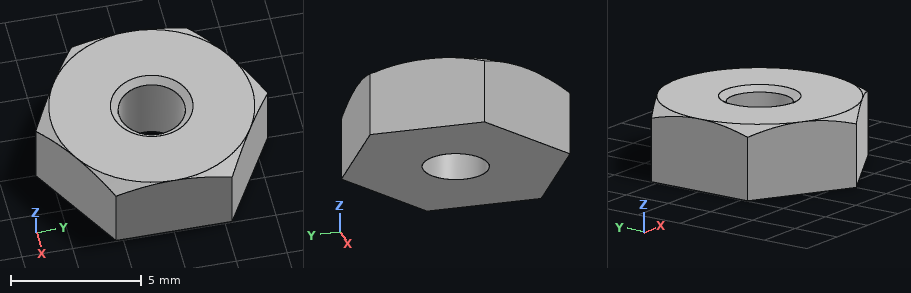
import cadquery as cq
import math

across_corners = 9.15
across_flats = across_corners * math.cos(math.radians(30))
height = 2.9
corner_chamfer_angle = 30.0

bore_diameter = 2.58
countersink_diameter = 3.175
countersink_depth = 0.22
countersink_angle = 2 * math.degrees(
    math.atan2((countersink_diameter - bore_diameter) / 2, countersink_depth)
)


def hexagonal_body():
    return (
        cq.Workplane("XY")
        .polygon(6, across_corners)
        .extrude(height)
        .rotate((0, 0, 0), (0, 0, 1), 90)
    )


def chamfer_envelope():
    """Cylinder through the corners, coned at the top down from the flats circle."""
    corner_radius = across_corners / 2
    flat_radius = across_flats / 2
    corner_drop = (corner_radius - flat_radius) * math.tan(math.radians(corner_chamfer_angle))
    return (
        cq.Workplane("XZ")
        .moveTo(0, 0)
        .lineTo(corner_radius, 0)
        .lineTo(corner_radius, height - corner_drop)
        .lineTo(flat_radius, height)
        .lineTo(0, height)
        .close()
        .revolve(360, (0, 0, 0), (0, 1, 0))
    )


chamfered_body = hexagonal_body().intersect(chamfer_envelope())

result = (
    chamfered_body.faces(">Z")
    .workplane(origin=(0, 0, height))
    .cskHole(bore_diameter, countersink_diameter, countersink_angle)
)